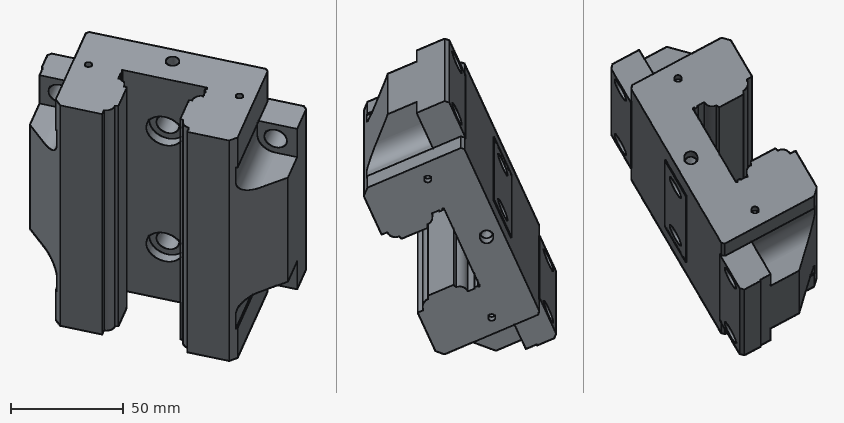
import cadquery as cq
import math


total_length = 133.0
body_length = 96.8
body_width = 120.0
height = 50.0
cap_length = (total_length - body_length) / 2

edge_chamfer = 1.6
reference_edge_depth = 10.0
reference_edge_relief = 0.5
bottom_half_width = 39.1
mount_relief = 0.4
mount_relief_outer = 40.4
center_strip_half = 9.6

cap_half_width = 42.2
cap_height = height - mount_relief
cap_edge_chamfer = 1.2

channel_half_width = 19.7
channel_height = 30.2
seal_rib_half_width = 19.2
seal_rib_low = 27.8
seal_rib_high = 29.4
track_center_height = 13.5
track_nose_half_width = 14.4
track_nose_half_height = 6.3
track_shoulder_half_width = 15.8
track_shoulder_half_height = 6.8
track_root_half_height = 10.8

bolt_diameter = 10.5
bolt_head_diameter = 17.0
flange_thickness = 15.2
flange_bolt_x = 50.0
flange_bolt_z = body_length / 2 - bolt_head_diameter / 2
center_bolt_z = 35.0

lube_diameter = 6.0
lube_height = 42.2
lube_depth = 8.0
screw_diameter = 3.2
screw_x = 35.0
screw_height = 29.1
screw_depth = 6.0
drill_tip_angle = 118.0


def extrude_along_rail(outline, length):
    """Extrude an XY outline along Z, centred on Z = 0."""
    return outline.extrude(length / 2, both=True)


def make_body():
    half = body_width / 2
    relieved_half = half - reference_edge_relief
    step_y = height - reference_edge_depth
    chamfer_y = height - edge_chamfer
    outline = cq.Workplane("XY").polyline([
        (bottom_half_width, 0),
        (half, half - bottom_half_width),
        (half, chamfer_y),
        (half - edge_chamfer, height),
        (-half + edge_chamfer, height),
        (-half, chamfer_y),
        (-half, step_y),
        (-relieved_half, step_y),
        (-relieved_half, relieved_half - bottom_half_width),
        (-bottom_half_width, 0),
    ]).close()
    body = extrude_along_rail(outline, body_length)

    relief_width = mount_relief_outer - center_strip_half
    relief_x = (mount_relief_outer + center_strip_half) / 2
    for side in (-1, 1):
        relief = cq.Workplane("XY").box(relief_width, 2 * mount_relief, body_length)
        body = body.cut(relief.translate((side * relief_x, height, 0)))
    return body


def make_end_caps():
    """Both end caps as one bar that passes through the body."""
    right_half = [
        (bottom_half_width, 0),
        (cap_half_width, cap_half_width - bottom_half_width),
        (cap_half_width, cap_height - cap_edge_chamfer),
        (cap_half_width - cap_edge_chamfer, cap_height),
    ]
    left_half = [(-x, y) for x, y in reversed(right_half)]
    outline = cq.Workplane("XY").polyline(right_half + left_half).close()
    end_bar = extrude_along_rail(outline, total_length)
    body_gap = cq.Workplane("XY").box(body_width, 4 * height, body_length)
    return end_bar.cut(body_gap)


def make_rail_channel():
    """Solid to remove for the rail; the tracks bulge into it on both sides."""
    slot_outline = cq.Workplane("XY").rect(2 * channel_half_width, 2 * channel_height)
    channel = extrude_along_rail(slot_outline, total_length)

    arc_dx = channel_half_width - track_shoulder_half_width
    arc_dy = track_root_half_height - track_shoulder_half_height
    arc_mid_x = track_shoulder_half_width + arc_dx * (1 - math.sqrt(0.5))
    arc_mid_half_height = track_shoulder_half_height + arc_dy * math.sqrt(0.5)
    mid_y = track_center_height
    track_outline = (
        cq.Workplane("XY")
        .moveTo(channel_half_width, mid_y - track_root_half_height)
        .threePointArc(
            (arc_mid_x, mid_y - arc_mid_half_height),
            (track_shoulder_half_width, mid_y - track_shoulder_half_height),
        )
        .lineTo(track_nose_half_width, mid_y - track_nose_half_height)
        .lineTo(track_nose_half_width, mid_y + track_nose_half_height)
        .lineTo(track_shoulder_half_width, mid_y + track_shoulder_half_height)
        .threePointArc(
            (arc_mid_x, mid_y + arc_mid_half_height),
            (channel_half_width, mid_y + track_root_half_height),
        )
        .close()
    )
    track = extrude_along_rail(track_outline, total_length)

    seal_rib_outline = cq.Workplane("XY").polyline([
        (channel_half_width, seal_rib_low),
        (seal_rib_half_width, seal_rib_low),
        (seal_rib_half_width, seal_rib_high),
        (channel_half_width, seal_rib_high),
    ]).close()
    seal_rib = extrude_along_rail(seal_rib_outline, total_length)

    for feature in (track, seal_rib):
        channel = channel.cut(feature).cut(feature.mirror("YZ"))
    return channel


def cylinder_along_y(diameter, x, z, y_start, y_end):
    axis_start = cq.Vector(x, y_start, z)
    solid = cq.Solid.makeCylinder(diameter / 2, y_end - y_start, axis_start, cq.Vector(0, 1, 0))
    return cq.Workplane(solid)


def make_flange_bolt_pocket():
    """Bolt hole and open-sided spot face of the +X, +Z corner."""
    floor_y = height - flange_thickness
    radius = bolt_head_diameter / 2
    inner_x = flange_bolt_x - radius
    pocket_width = body_width / 2 - inner_x
    pocket = (
        cq.Workplane("XY")
        .box(pocket_width, floor_y, bolt_head_diameter, centered=(False, False, True))
        .edges("<X and <Z")
        .fillet(radius)
        .translate((inner_x, 0, flange_bolt_z))
    )
    return pocket.union(cylinder_along_y(bolt_diameter, flange_bolt_x, flange_bolt_z, 0, height))


def make_center_bolt_hole(z):
    hole = cylinder_along_y(bolt_diameter, 0, z, channel_height, height)
    head_recess = cylinder_along_y(
        bolt_head_diameter, 0, z, channel_height, height - flange_thickness
    )
    return hole.union(head_recess)


def make_blind_hole(diameter, x, y, depth):
    """Drilled hole with a conical bottom, entering the +Z end face."""
    radius = diameter / 2
    tip_depth = radius / math.tan(math.radians(drill_tip_angle / 2))
    return (
        cq.Workplane("XZ")
        .polyline([(0, 0), (radius, 0), (radius, -depth), (0, -depth - tip_depth)])
        .close()
        .revolve(360, (0, 0, 0), (0, 1, 0))
        .translate((x, y, total_length / 2))
    )


result = make_body().union(make_end_caps()).cut(make_rail_channel())

corner_pocket = make_flange_bolt_pocket()
for upper_pocket in (corner_pocket, corner_pocket.mirror("YZ")):
    result = result.cut(upper_pocket).cut(upper_pocket.mirror("XY"))

for bolt_z in (-center_bolt_z, center_bolt_z):
    result = result.cut(make_center_bolt_hole(bolt_z))

end_face_holes = [
    make_blind_hole(lube_diameter, 0, lube_height, lube_depth),
    make_blind_hole(screw_diameter, -screw_x, screw_height, screw_depth),
    make_blind_hole(screw_diameter, screw_x, screw_height, screw_depth),
]
for end_hole in end_face_holes:
    result = result.cut(end_hole).cut(end_hole.mirror("XY"))